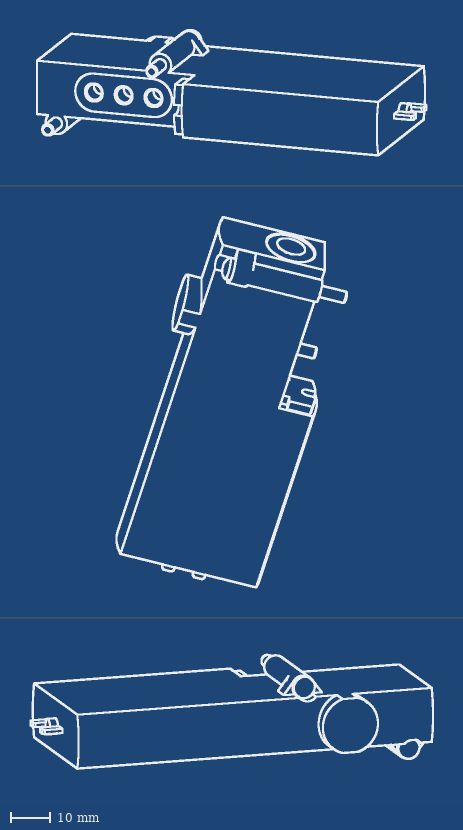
import cadquery as cq
import math


length = 94.6
height = 14.1
half_height = height / 2
back_edge_y = 26.9
front_edge_y = -8.9
bulge = 1.1
back_y = back_edge_y + bulge
deep_section_x = 42.2
centre_y = 9.0

plate_thickness = 2.4
plate_width = 13.0
plate_edge_y = -8.1
plate_bulge = 0.9
plate_neck_width = 8.8
plate_neck_depth = 2.1
notch_width = 2.8
notch_end_y = -5.4

manifold_x = 23.2
manifold_hole_pitch = 8.0
manifold_hole_diameter = 4.0
manifold_hole_depth = 6.0
manifold_hole_chamfer = 0.4
gasket_length = 25.9
gasket_width = 10.0
gasket_depth = 0.1

knob_diameter = 14.7
knob_end_y = 31.5
knob_root_y = 20.0

port_rim_diameter = 13.0
port_ring_diameter = 12.5
port_ring_sink = 0.2
port_ring_rise = 0.4
port_ring_bow = 0.1
port_mouth_diameter = 7.4
port_bottom_diameter = 3.0
port_depth = 2.5

upper_screw_x = 33.1
lower_screw_x = 5.2
screw_offset = 1.9
sleeve_diameter = 5.8
sleeve_end_y = 22.9
head_diameter = 5.6
head_dome_y = 24.1
head_end_y = 25.3
head_end_diameter = 2.4
head_dome_bow = 0.2
groove_diameter = 5.8
shank_diameter = 3.0
shank_length = 7.0
shank_chamfer = 0.3
lug_half_width = 5.1
lug_start_y = 18.1

blade_length = 5.1
blade_width = 3.1
blade_thickness = 1.1
blade_pitch = 8.1
blade_chamfer = 0.5
plug_post_diameter = 4.0
plug_post_length = 2.1


def bulged_section(start_x, end_x, rear_y, width, edge_y, rise):
    """Bar along X, flat at rear_y and bulged by rise from the edges at edge_y."""
    half_width = width / 2
    direction = math.copysign(1, edge_y - rear_y)
    return (
        cq.Workplane("YZ", origin=(start_x, 0, 0))
        .moveTo(rear_y, -half_width)
        .lineTo(edge_y, -half_width)
        .threePointArc((edge_y + direction * rise, 0), (edge_y, half_width))
        .lineTo(rear_y, half_width)
        .close()
        .extrude(end_x - start_x)
    )


def y_cylinder(diameter, x, z, start_y, end_y):
    """Cylinder along Y between two stations."""
    return (
        cq.Workplane("XZ", origin=(x, start_y, z))
        .circle(diameter / 2)
        .extrude(start_y - end_y)
    )


def make_housing():
    """Full-length section joined to the deep section."""
    main_section = bulged_section(0, length, 0, height, back_edge_y, bulge)
    deep_section = bulged_section(deep_section_x, length, centre_y, height, front_edge_y, bulge)
    return main_section.union(deep_section)


def make_plate():
    """Stepped plate with a round-ended notch in its bulged edge."""
    start_x = deep_section_x - plate_thickness
    plate = bulged_section(
        start_x, deep_section_x, -plate_neck_depth, plate_width, plate_edge_y, plate_bulge
    )
    neck = cq.Workplane("XY").box(
        plate_thickness, plate_neck_depth, plate_neck_width, centered=(False, False, True)
    ).translate((start_x, -plate_neck_depth, 0))
    notch_radius = notch_width / 2
    notch_open_y = plate_edge_y - plate_bulge
    notch = (
        cq.Workplane("YZ", origin=(start_x, 0, 0))
        .moveTo(notch_open_y, -notch_radius)
        .lineTo(notch_end_y - notch_radius, -notch_radius)
        .threePointArc((notch_end_y, 0), (notch_end_y - notch_radius, notch_radius))
        .lineTo(notch_open_y, notch_radius)
        .close()
        .extrude(plate_thickness)
    )
    return plate.union(neck).cut(notch)


def make_knob():
    """Round knob trimmed flush with the upper and lower surfaces."""
    knob = y_cylinder(knob_diameter, manifold_x, 0, knob_root_y, knob_end_y)
    slab = cq.Workplane("XY").box(knob_diameter, knob_end_y, height).translate(
        (manifold_x, knob_end_y / 2, 0)
    )
    return knob.intersect(slab)


def make_manifold_cuts():
    """Shallow gasket recess with a row of chamfered holes."""
    cuts = (
        cq.Workplane("XZ", origin=(manifold_x, gasket_depth, 0))
        .slot2D(gasket_length, gasket_width)
        .extrude(gasket_depth)
    )
    radius = manifold_hole_diameter / 2
    chamfer_y = gasket_depth + manifold_hole_chamfer
    for step in (-1, 0, 1):
        hole = (
            cq.Workplane("XY")
            .polyline([
                (0, gasket_depth),
                (radius + manifold_hole_chamfer, gasket_depth),
                (radius, chamfer_y),
                (radius, manifold_hole_depth),
                (0, manifold_hole_depth),
            ])
            .close()
            .revolve(360, (0, 0), (0, 1))
            .translate((manifold_x + step * manifold_hole_pitch, 0, 0))
        )
        cuts = cuts.union(hole)
    return cuts


def add_end_port(body):
    """Domed ring in a chamfered seat, with a conical bore."""
    rim = port_rim_diameter / 2
    ring = port_ring_diameter / 2
    mouth = port_mouth_diameter / 2
    bottom = port_bottom_diameter / 2

    def turned(profile):
        return profile.close().revolve(360, (0, 0), (1, 0)).translate((0, centre_y, 0))

    seat = turned(
        cq.Workplane("XY").polyline([(0, 0), (0, rim), (port_ring_sink, ring), (port_ring_sink, 0)])
    )
    ring_slope = math.atan2(port_ring_sink + port_ring_rise, ring - mouth)
    ring_mid = (
        (port_ring_sink - port_ring_rise) / 2 - port_ring_bow * math.cos(ring_slope),
        (ring + mouth) / 2 + port_ring_bow * math.sin(ring_slope),
    )
    insert = turned(
        cq.Workplane("XY")
        .moveTo(port_ring_sink, 0)
        .lineTo(port_ring_sink, ring)
        .threePointArc(ring_mid, (-port_ring_rise, mouth))
        .lineTo(-port_ring_rise, 0)
    )
    bore = turned(
        cq.Workplane("XY").polyline(
            [(-port_ring_rise, 0), (-port_ring_rise, mouth), (port_depth, bottom), (port_depth, 0)]
        )
    )
    return body.cut(seat).union(insert).cut(bore)


def make_lug(x):
    """Lug on the upper surface whose flanks run tangent to the screw sleeve."""
    radius = sleeve_diameter / 2
    to_axis = math.hypot(lug_half_width, screw_offset)
    slope = math.atan2(screw_offset, lug_half_width) + math.asin(radius / to_axis)
    tangent_x = radius * math.sin(slope)
    tangent_z = screw_offset + radius * math.cos(slope)
    return (
        cq.Workplane("XZ", origin=(x, lug_start_y, half_height))
        .polyline([
            (-lug_half_width, 0),
            (-tangent_x, tangent_z),
            (tangent_x, tangent_z),
            (lug_half_width, 0),
        ])
        .close()
        .extrude(lug_start_y - sleeve_end_y)
    )


def make_screw(x):
    """Sleeve with a domed head and a chamfered shank, lying along Y."""
    sleeve = sleeve_diameter / 2
    shank = shank_diameter / 2
    head = head_diameter / 2
    head_end = head_end_diameter / 2
    dome_angle = math.atan2(head - head_end, head_end_y - head_dome_y)
    dome_mid = (
        (head + head_end) / 2 + head_dome_bow * math.cos(dome_angle),
        (head_dome_y + head_end_y) / 2 + head_dome_bow * math.sin(dome_angle),
    )
    return (
        cq.Workplane("XY")
        .moveTo(0, -shank_length)
        .lineTo(shank - shank_chamfer, -shank_length)
        .lineTo(shank, shank_chamfer - shank_length)
        .lineTo(shank, 0)
        .lineTo(sleeve, 0)
        .lineTo(sleeve, sleeve_end_y)
        .lineTo(head, sleeve_end_y)
        .lineTo(head, head_dome_y)
        .threePointArc(dome_mid, (head_end, head_end_y))
        .lineTo(0, head_end_y)
        .close()
        .revolve(360, (0, 0), (0, 1))
        .translate((x, 0, half_height + screw_offset))
    )


def add_screw(body, x):
    """Screw, lug and driver groove on the upper surface."""
    axis_z = half_height + screw_offset
    groove = y_cylinder(groove_diameter, x, axis_z, sleeve_end_y, back_y)
    return body.cut(groove).union(make_screw(x)).union(make_lug(x))


def make_plug():
    """Round post between two flat contact blades."""
    plug = (
        cq.Workplane("YZ", origin=(length, centre_y, 0))
        .circle(plug_post_diameter / 2)
        .extrude(plug_post_length)
    )
    for side in (-1, 1):
        blade = (
            cq.Workplane("XY")
            .box(blade_length, blade_width, blade_thickness, centered=(False, True, True))
            .faces(">X").edges("|Z").chamfer(blade_chamfer)
            .translate((length, centre_y + side * blade_pitch / 2, 0))
        )
        plug = plug.union(blade)
    return plug


def turned_over(body):
    return body.mirror("XY")


body = make_housing().union(make_plate()).union(make_knob())
body = body.cut(make_manifold_cuts())
body = add_end_port(body)
body = add_screw(body, upper_screw_x)
body = turned_over(add_screw(turned_over(body), lower_screw_x))
result = body.union(make_plug())